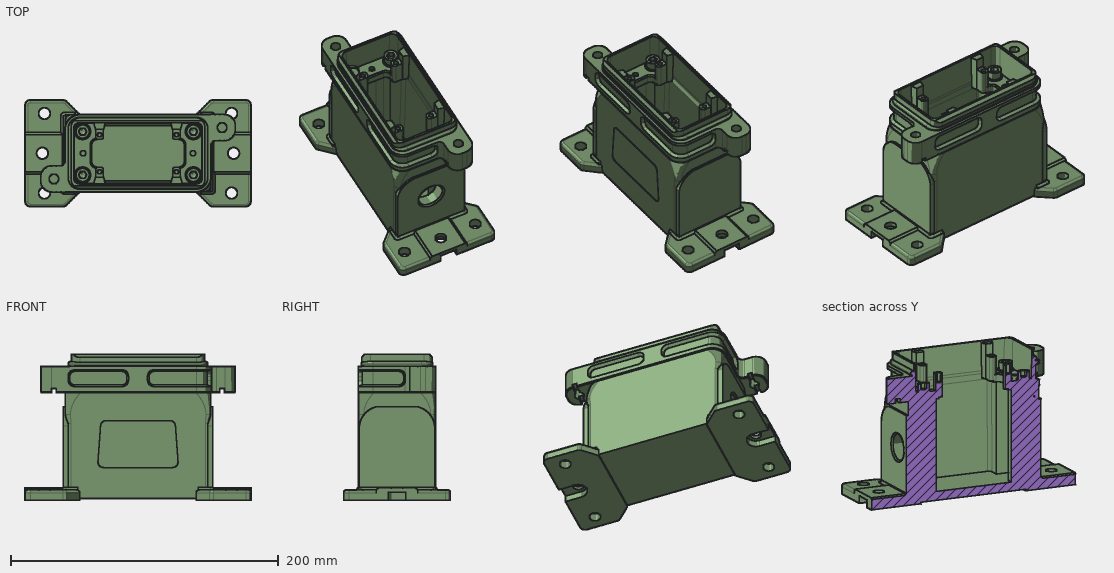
import cadquery as cq
import math

LENGTH = 169.0
FOOT_WIDTH = 80.0
HEIGHT = 109.2

PAD_TOP = 7.8
STRIP_TOP = 9.3
STRIP_HALF_TOP = 13.9
STRIP_HALF_BASE = 15.5
FOOT_SHOULDER_X = 54.6
FOOT_ROOT_X = 43.5
FOOT_CORNER_RADIUS = 4.0
FOOT_EDGE_FILLET = 2.0
FOOT_HOLE_DIAMETER = 8.5
CORNER_HOLE_X = 70.0
CORNER_HOLE_Y = 29.7
MIDDLE_HOLE_X = 71.5
NOTCH_WIDTH = 13.4
NOTCH_HEIGHT = 5.9
ROOT_FLARE = 1.7
ROOT_FLARE_TOP = 9.8

BODY_BOTTOM = 1.2
BODY_WIDTH = 57.6
BODY_LOWER_LENGTH = 105.8
BODY_UPPER_LENGTH = 108.8
BODY_LOWER_TOP = 57.5
BODY_BLEND_START = 64.2
BODY_LOWER_RADIUS = 2.7
BODY_SHOULDER_RADIUS = 3.7
BODY_BLEND_STEPS = 4

PLATE_LENGTH = 112.0
PLATE_HALF_WIDTH = 28.0
PLATE_SHOULDER_Z = 55.8
PLATE_ARC_Y = 23.7
PLATE_ARC_Z = 65.2
PLATE_TOP = 70.0
PLATE_TOP_HALF = 14.9

LABEL_BOTTOM = 24.5
LABEL_TOP = 59.5
LABEL_HALF_BOTTOM = 30.3
LABEL_HALF_TOP = 27.7
LABEL_RADIUS = 4.0
LABEL_DEPTH = 0.2

COLLAR_BOTTOM = 80.3
COLLAR_TOP = 100.0
COLLAR_LENGTH = 109.3
COLLAR_WIDTH = 58.0
COLLAR_RADIUS = 11.0
EAR_WIDTH = 19.6
EAR_HOLE_X = 62.9
EAR_TIP_X = 72.7
EAR_TIP_RADIUS = 8.0
EAR_ROOT_RADIUS = 3.7
EAR_HOLE_DIAMETER = 7.1
EAR_SLOT_WIDTH = 3.4
EAR_SLOT_DEPTH = 3.2
COLLAR_CHAMFER = 0.7

WINDOW_BOTTOM = 85.0
WINDOW_TOP = 97.5
WINDOW_DEPTH = 3.0
WINDOW_FLARE = 1.2
WINDOW_RADIUS = 4.9
WINDOW_INNER_X = 7.1
WINDOW_OUTER_X = 52.2
WINDOW_END_Y = 6.3

BEAD_LENGTH = 104.5
BEAD_WIDTH = 53.7
BEAD_TOP = 103.8
BEAD_RADIUS = 8.8
BEAD_FILLET = 1.7
RIM_LENGTH = 99.7
RIM_WIDTH = 53.0
RIM_RADIUS = 6.5
RIM_CHAMFER = 2.4

CAVITY_LENGTH = 96.3
CAVITY_WIDTH = 46.0
CAVITY_RADIUS = 4.7
CAVITY_DRAFT = 0.7
SHELF_TOP = 86.5
SLOPE_TOP = 84.3
SLOPE_BOTTOM = 79.8
WELL_LENGTH = 57.5
BAY_LENGTH = 69.3
BAY_WIDTH = 20.6
BAY_RADIUS = 4.2
BAY_CHAMFER = 1.0
DEEP_BAY_LENGTH = 93.0
CHAMBER_LENGTH = 61.9
CHAMBER_TOP_WIDTH = 44.0
CHAMBER_FLOOR_WIDTH = 40.9
CHAMBER_RADIUS = 2.5
CHAMBER_FLOOR = 8.5
PILLAR_BOTTOM = 80.8
PILLAR_X = 28.7
PILLAR_WIDTH = 5.7
PILLAR_INNER_Y = 10.3
PILLAR_HOLE_Y = 13.9
PILLAR_TOP = 99.4
PILLAR_CORNER = 2.0
PILLAR_HOLE_DIAMETER = 3.2
PILLAR_HOLE_DEPTH = 6.8
RIB_INNER_Y = 17.9
RIB_WIDTH_INNER = 6.0
RIB_WIDTH_WALL = 9.0
RIB_TOP = 107.8
SCREW_X = 41.4
SCREW_Y = 16.2
SCREW_DIAMETER = 10.0
SCREW_TOP = 93.1
SCREW_SEAT_DIAMETER = 12.0
SCREW_SEAT_HEIGHT = 0.7
SCREW_SOCKET_DIAMETER = 6.0
SCREW_SOCKET_DEPTH = 4.0
DRILL_POINT_ANGLE = 118
SHELF_HOLE_X = 41.0
SHELF_HOLE_DIAMETER = 4.0
SHELF_HOLE_DEPTH = 2.5

CABLE_DIAMETER = 20.0
CABLE_CHAMFER = 1.2
CABLE_Z = 41.7

FOUR_CORNERS = [(sx, sy) for sx in (-1, 1) for sy in (-1, 1)]


def rounded_block(length, width, radius, bottom, top):
    """Upright block with rounded vertical edges, centred on the Z axis."""
    return (
        cq.Workplane("XY", origin=(0, 0, bottom))
        .rect(length, width)
        .extrude(top - bottom)
        .edges("|Z")
        .fillet(radius)
    )


def rounded_loft(*sections, ruled=True):
    """Blend through rounded rectangles, each given as (z, length, width, radius)."""
    outlines = [
        cq.Sketch().rect(length, width).vertices().fillet(radius).moved(cq.Location(cq.Vector(0, 0, z)))
        for z, length, width, radius in sections
    ]
    return cq.Workplane("XY").placeSketch(*outlines).loft(ruled=ruled)


def box_between(x_range, y_range, z_range):
    """Axis-aligned box given by its limits."""
    limits = (x_range, y_range, z_range)
    sizes = [high - low for low, high in limits]
    corner = tuple(low for low, _ in limits)
    return cq.Workplane("XY", origin=corner).box(*sizes, centered=False)


def half_turn(shape):
    """Copy turned by 180 degrees about the Z axis."""
    return shape.rotate((0, 0, 0), (0, 0, 1), 180)


def drill_tip(x, y, z, diameter):
    """Downward cone left by a drill at the bottom of a hole."""
    depth = diameter / 2 / math.tan(math.radians(DRILL_POINT_ANGLE / 2))
    return cq.Workplane(
        cq.Solid.makeCone(diameter / 2, 0, depth, cq.Vector(x, y, z), cq.Vector(0, 0, -1))
    )


def make_foot():
    """Mounting foot on the -X end: two rounded pads, a raised strip, three holes."""
    end_x = -LENGTH / 2
    half_width = FOOT_WIDTH / 2
    body_half = BODY_WIDTH / 2
    outline = [
        (end_x, -half_width),
        (-FOOT_SHOULDER_X, -half_width),
        (-FOOT_ROOT_X, -body_half),
        (-FOOT_ROOT_X, body_half),
        (-FOOT_SHOULDER_X, half_width),
        (end_x, half_width),
    ]
    pads = (
        cq.Workplane("XY").polyline(outline).close().extrude(PAD_TOP)
        .edges("|Z and (not >X)").fillet(FOOT_CORNER_RADIUS)
        .faces(">Z").edges("not >X").fillet(FOOT_EDGE_FILLET)
    )
    strip = (
        cq.Workplane("YZ", origin=(end_x, 0, 0))
        .polyline([
            (-STRIP_HALF_BASE, 0),
            (-STRIP_HALF_BASE, PAD_TOP),
            (-STRIP_HALF_TOP, STRIP_TOP),
            (STRIP_HALF_TOP, STRIP_TOP),
            (STRIP_HALF_BASE, PAD_TOP),
            (STRIP_HALF_BASE, 0),
        ])
        .close()
        .extrude(LENGTH / 2 - FOOT_ROOT_X)
    )
    flare = rounded_loft(
        (PAD_TOP, PLATE_LENGTH + 2 * ROOT_FLARE, BODY_WIDTH + 2 * ROOT_FLARE, BODY_LOWER_RADIUS),
        (ROOT_FLARE_TOP, PLATE_LENGTH, BODY_WIDTH, BODY_LOWER_RADIUS),
    ).intersect(
        box_between((end_x, -FOOT_ROOT_X - ROOT_FLARE), (-half_width, half_width), (0, HEIGHT))
    )
    holes = (
        cq.Workplane("XY")
        .pushPoints([
            (-CORNER_HOLE_X, -CORNER_HOLE_Y),
            (-MIDDLE_HOLE_X, 0),
            (-CORNER_HOLE_X, CORNER_HOLE_Y),
        ])
        .circle(FOOT_HOLE_DIAMETER / 2)
        .extrude(STRIP_TOP)
    )
    notch = (
        cq.Workplane("XY", origin=(-MIDDLE_HOLE_X, 0, 0)).circle(NOTCH_WIDTH / 2).extrude(NOTCH_HEIGHT)
        .union(box_between(
            (end_x, -MIDDLE_HOLE_X), (-NOTCH_WIDTH / 2, NOTCH_WIDTH / 2), (0, NOTCH_HEIGHT)
        ))
    )
    return pads.union(strip).union(flare).cut(holes).cut(notch)


def make_body():
    """Housing body whose corner radius grows quadratically up to the collar."""
    body = rounded_block(
        BODY_LOWER_LENGTH, BODY_WIDTH, BODY_LOWER_RADIUS, BODY_BOTTOM, BODY_LOWER_TOP
    )
    blend = []
    for step in range(BODY_BLEND_STEPS + 1):
        share = step / BODY_BLEND_STEPS
        level = BODY_BLEND_START + share * (COLLAR_BOTTOM - BODY_BLEND_START)
        radius = BODY_SHOULDER_RADIUS + share**2 * (COLLAR_RADIUS - BODY_SHOULDER_RADIUS)
        blend.append((level, BODY_UPPER_LENGTH, BODY_WIDTH, radius))
    lower_top = (BODY_LOWER_TOP, BODY_LOWER_LENGTH, BODY_WIDTH, BODY_LOWER_RADIUS)
    return body.union(rounded_loft(lower_top, blend[0])).union(rounded_loft(*blend, ruled=False))


def make_end_plates():
    """Flat end faces with a rounded top, standing proud of both ends of the body."""
    return (
        cq.Workplane("YZ", origin=(-PLATE_LENGTH / 2, 0, 0))
        .moveTo(-PLATE_HALF_WIDTH, BODY_BOTTOM)
        .lineTo(-PLATE_HALF_WIDTH, PLATE_SHOULDER_Z)
        .threePointArc((-PLATE_ARC_Y, PLATE_ARC_Z), (-PLATE_TOP_HALF, PLATE_TOP))
        .lineTo(PLATE_TOP_HALF, PLATE_TOP)
        .threePointArc((PLATE_ARC_Y, PLATE_ARC_Z), (PLATE_HALF_WIDTH, PLATE_SHOULDER_Z))
        .lineTo(PLATE_HALF_WIDTH, BODY_BOTTOM)
        .close()
        .extrude(PLATE_LENGTH)
    )


def make_ear():
    """Ear at the (-X, -Y) corner of the collar, with a rounded tip and a tangent root fillet."""
    outer_y = -COLLAR_WIDTH / 2
    inner_y = outer_y + EAR_WIDTH
    wall_x = -COLLAR_LENGTH / 2
    depth = COLLAR_TOP - COLLAR_BOTTOM
    tongue = box_between(
        (-EAR_TIP_X, wall_x + COLLAR_RADIUS), (outer_y, inner_y), (COLLAR_BOTTOM, COLLAR_TOP)
    ).edges("|Z and <X").fillet(EAR_TIP_RADIUS)
    root_fillet = (
        cq.Workplane("XY", origin=(wall_x, inner_y, COLLAR_BOTTOM))
        .rect(-EAR_ROOT_RADIUS, EAR_ROOT_RADIUS, centered=False)
        .extrude(depth)
        .cut(
            cq.Workplane("XY", origin=(wall_x, inner_y, COLLAR_BOTTOM))
            .center(-EAR_ROOT_RADIUS, EAR_ROOT_RADIUS)
            .circle(EAR_ROOT_RADIUS)
            .extrude(depth)
        )
    )
    return tongue.union(root_fillet)


def make_ear_cuts():
    """Screw hole through the ear and a narrow slot across its underside."""
    ear_y = -(COLLAR_WIDTH - EAR_WIDTH) / 2
    hole = (
        cq.Workplane("XY", origin=(-EAR_HOLE_X, ear_y, COLLAR_BOTTOM))
        .circle(EAR_HOLE_DIAMETER / 2)
        .extrude(COLLAR_TOP - COLLAR_BOTTOM)
    )
    slot = cq.Workplane("XY", origin=(-EAR_HOLE_X, ear_y, COLLAR_BOTTOM)).box(
        EAR_SLOT_WIDTH, EAR_WIDTH, 2 * EAR_SLOT_DEPTH
    )
    return hole.union(slot)


def tapered_window(plane, start, end):
    """Rounded slot between two places along a wall, narrowing towards its floor."""
    taper = math.degrees(math.atan(WINDOW_FLARE / WINDOW_DEPTH))
    outline = cq.Sketch().rect(end - start, WINDOW_TOP - WINDOW_BOTTOM).vertices().fillet(WINDOW_RADIUS)
    return (
        cq.Workplane(plane)
        .center((start + end) / 2, 0)
        .placeSketch(outline)
        .extrude(WINDOW_DEPTH, taper=taper)
    )


def make_corner_window():
    """Part of the wrapping window that follows the rounded (+X, -Y) corner."""
    mouth = (COLLAR_LENGTH, COLLAR_WIDTH, COLLAR_RADIUS)
    floor = (
        COLLAR_LENGTH - 2 * WINDOW_DEPTH,
        COLLAR_WIDTH - 2 * WINDOW_DEPTH,
        COLLAR_RADIUS - WINDOW_DEPTH,
    )
    core = rounded_loft(
        (WINDOW_BOTTOM, *mouth),
        (WINDOW_BOTTOM + WINDOW_FLARE, *floor),
        (WINDOW_TOP - WINDOW_FLARE, *floor),
        (WINDOW_TOP, *mouth),
    )
    corner = box_between(
        (COLLAR_LENGTH / 2 - COLLAR_RADIUS, COLLAR_LENGTH / 2),
        (-COLLAR_WIDTH / 2, -COLLAR_WIDTH / 2 + COLLAR_RADIUS),
        (WINDOW_BOTTOM, WINDOW_TOP),
    )
    return rounded_block(*mouth, WINDOW_BOTTOM, WINDOW_TOP).cut(core).intersect(corner)


def make_windows():
    """Two shallow collar windows: one closed on -Y, one wrapping the (+X, -Y) corner."""
    middle_z = (WINDOW_BOTTOM + WINDOW_TOP) / 2
    half_length = COLLAR_LENGTH / 2
    half_width = COLLAR_WIDTH / 2
    front = cq.Plane(origin=(0, -half_width, middle_z), xDir=(1, 0, 0), normal=(0, 1, 0))
    side = cq.Plane(origin=(half_length, 0, middle_z), xDir=(0, 1, 0), normal=(-1, 0, 0))
    return (
        tapered_window(front, -WINDOW_OUTER_X, -WINDOW_INNER_X)
        .union(tapered_window(front, WINDOW_INNER_X, half_length + WINDOW_RADIUS))
        .union(tapered_window(side, -half_width - WINDOW_RADIUS, WINDOW_END_Y))
        .union(make_corner_window())
    )


def make_rim():
    """Rounded bead and upper rim with its long top edges chamfered."""
    bead = rounded_block(BEAD_LENGTH, BEAD_WIDTH, BEAD_RADIUS, COLLAR_TOP, BEAD_TOP)
    bead = bead.edges("#Z").fillet(BEAD_FILLET)
    rim_half = RIM_WIDTH / 2
    chamfered = box_between(
        (-RIM_LENGTH / 2, RIM_LENGTH / 2), (-rim_half, rim_half), (COLLAR_TOP, HEIGHT)
    ).edges("|X and >Z").chamfer(RIM_CHAMFER)
    rim = chamfered.intersect(
        rounded_block(RIM_LENGTH, RIM_WIDTH, RIM_RADIUS, COLLAR_TOP, HEIGHT)
    )
    return bead.union(rim)


def make_cavity():
    """Drafted cavity above the shelves."""
    return rounded_loft(
        (SHELF_TOP, CAVITY_LENGTH - 2 * CAVITY_DRAFT, CAVITY_WIDTH - 2 * CAVITY_DRAFT, CAVITY_RADIUS),
        (HEIGHT, CAVITY_LENGTH, CAVITY_WIDTH, CAVITY_RADIUS),
    )


def make_inner_space():
    """Cavity, sloped well between the shelves, drafted chamber and its two end bays."""
    well_half = CAVITY_WIDTH / 2 - CAVITY_DRAFT
    chamber_half = CHAMBER_TOP_WIDTH / 2
    well = (
        cq.Workplane("YZ", origin=(-WELL_LENGTH / 2, 0, 0))
        .polyline([
            (-well_half, SHELF_TOP),
            (-well_half, SLOPE_TOP),
            (-chamber_half, SLOPE_BOTTOM),
            (chamber_half, SLOPE_BOTTOM),
            (well_half, SLOPE_TOP),
            (well_half, SHELF_TOP),
        ])
        .close()
        .extrude(WELL_LENGTH)
    )
    chamber = rounded_loft(
        (CHAMBER_FLOOR, CHAMBER_LENGTH, CHAMBER_FLOOR_WIDTH, CHAMBER_RADIUS),
        (SLOPE_BOTTOM, CHAMBER_LENGTH, CHAMBER_TOP_WIDTH, CHAMBER_RADIUS),
    )
    bays = rounded_block(BAY_LENGTH, BAY_WIDTH, BAY_RADIUS, CHAMBER_FLOOR, SHELF_TOP)
    deep_bays = rounded_block(DEEP_BAY_LENGTH, BAY_WIDTH, BAY_RADIUS, CHAMBER_FLOOR, SLOPE_BOTTOM)
    bay_edge = rounded_loft(
        (SHELF_TOP - BAY_CHAMFER, BAY_LENGTH, BAY_WIDTH, BAY_RADIUS),
        (
            SHELF_TOP,
            BAY_LENGTH + 2 * BAY_CHAMFER,
            BAY_WIDTH + 2 * BAY_CHAMFER,
            BAY_RADIUS + BAY_CHAMFER,
        ),
    )
    return make_cavity().union(well).union(chamber).union(bays).union(deep_bays).union(bay_edge)


def make_pillar():
    """Screw pillar and wall rib at (+X, +Y)."""
    wall_y = CAVITY_WIDTH / 2
    pillar = (
        box_between(
            (PILLAR_X - PILLAR_WIDTH / 2, PILLAR_X + PILLAR_WIDTH / 2),
            (PILLAR_INNER_Y, wall_y),
            (PILLAR_BOTTOM, PILLAR_TOP),
        )
        .edges("|Z and <Y").fillet(PILLAR_CORNER)
        .cut(
            cq.Workplane("XY", origin=(PILLAR_X, PILLAR_HOLE_Y, PILLAR_TOP - PILLAR_HOLE_DEPTH))
            .circle(PILLAR_HOLE_DIAMETER / 2)
            .extrude(PILLAR_HOLE_DEPTH)
        )
        .cut(drill_tip(PILLAR_X, PILLAR_HOLE_Y, PILLAR_TOP - PILLAR_HOLE_DEPTH, PILLAR_HOLE_DIAMETER))
    )
    rib = (
        cq.Workplane("XY", origin=(PILLAR_X, 0, PILLAR_BOTTOM))
        .polyline([
            (-RIB_WIDTH_INNER / 2, RIB_INNER_Y),
            (RIB_WIDTH_INNER / 2, RIB_INNER_Y),
            (RIB_WIDTH_WALL / 2, wall_y),
            (-RIB_WIDTH_WALL / 2, wall_y),
        ])
        .close()
        .extrude(RIB_TOP - PILLAR_BOTTOM)
    )
    return pillar.union(rib)


def make_screw_heads():
    """Socket screw heads on low round seats at the four corners of the shelf."""
    points = [(sx * SCREW_X, sy * SCREW_Y) for sx, sy in FOUR_CORNERS]

    def at_level(z):
        return cq.Workplane("XY", origin=(0, 0, z)).pushPoints(points)

    seats = at_level(SHELF_TOP).circle(SCREW_SEAT_DIAMETER / 2).extrude(SCREW_SEAT_HEIGHT)
    heads = at_level(SHELF_TOP).circle(SCREW_DIAMETER / 2).extrude(SCREW_TOP - SHELF_TOP)
    sockets = at_level(SCREW_TOP - SCREW_SOCKET_DEPTH).polygon(6, SCREW_SOCKET_DIAMETER)
    screws = seats.union(heads).cut(sockets.extrude(SCREW_SOCKET_DEPTH))
    for x, y in points:
        tip_diameter = SCREW_SOCKET_DIAMETER * math.cos(math.pi / 6)
        screws = screws.cut(drill_tip(x, y, SCREW_TOP - SCREW_SOCKET_DEPTH, tip_diameter))
    return screws.intersect(make_cavity())


def make_shelf_holes():
    """Two shallow round holes on the long axis of the shelf."""
    return (
        cq.Workplane("XY", origin=(0, 0, SHELF_TOP - SHELF_HOLE_DEPTH))
        .pushPoints([(-SHELF_HOLE_X, 0), (SHELF_HOLE_X, 0)])
        .circle(SHELF_HOLE_DIAMETER / 2)
        .extrude(SHELF_HOLE_DEPTH)
    )


def make_cable_entry():
    """Round cable entry from the -X end face into the chamber, with a chamfered mouth."""
    face_x = -PLATE_LENGTH / 2
    entry_length = (PLATE_LENGTH - DEEP_BAY_LENGTH) / 2 + BAY_RADIUS
    bore = (
        cq.Workplane("YZ", origin=(face_x, 0, CABLE_Z))
        .circle(CABLE_DIAMETER / 2)
        .extrude(entry_length)
    )
    mouth = cq.Workplane(
        cq.Solid.makeCone(
            CABLE_DIAMETER / 2 + CABLE_CHAMFER,
            CABLE_DIAMETER / 2,
            CABLE_CHAMFER,
            cq.Vector(face_x, 0, CABLE_Z),
            cq.Vector(1, 0, 0),
        )
    )
    return bore.union(mouth)


def make_label_recess():
    """Shallow trapezoidal label field on the -Y face."""
    return (
        cq.Workplane("XZ", origin=(0, -BODY_WIDTH / 2 + LABEL_DEPTH, 0))
        .polyline([
            (-LABEL_HALF_BOTTOM, LABEL_BOTTOM),
            (LABEL_HALF_BOTTOM, LABEL_BOTTOM),
            (LABEL_HALF_TOP, LABEL_TOP),
            (-LABEL_HALF_TOP, LABEL_TOP),
        ])
        .close()
        .extrude(LABEL_DEPTH)
        .edges("|Y").fillet(LABEL_RADIUS)
    )


foot = make_foot()
ear = make_ear()
collar = rounded_block(COLLAR_LENGTH, COLLAR_WIDTH, COLLAR_RADIUS, COLLAR_BOTTOM, COLLAR_TOP)
collar = collar.union(ear).union(half_turn(ear)).clean()
collar = collar.faces("<Z").edges().chamfer(COLLAR_CHAMFER)
for cutter in (make_ear_cuts(), make_windows()):
    collar = collar.cut(cutter).cut(half_turn(cutter))

housing = make_body().union(make_end_plates())
housing = housing.union(foot).union(foot.mirror("YZ"))
housing = housing.union(collar).union(make_rim())

housing = housing.cut(make_inner_space())
pillar = make_pillar()
for side_x, side_y in FOUR_CORNERS:
    placed = pillar if side_x > 0 else pillar.mirror("YZ")
    placed = placed if side_y > 0 else placed.mirror("XZ")
    housing = housing.union(placed)
housing = housing.union(make_screw_heads()).cut(make_shelf_holes())

result = housing.cut(make_cable_entry()).cut(make_label_recess())